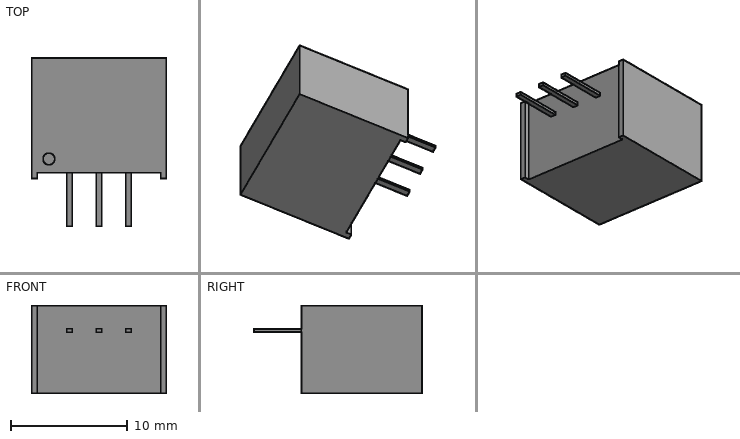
import cadquery as cq

WIDTH = 11.6
HEIGHT = 7.55
TOTAL_LENGTH = 14.49

HOUSING_LENGTH = 10.39
LIP_THICKNESS = 0.49
LIP_DEPTH = 0.49

PIN_COUNT = 3
PIN_PITCH = 2.54
PIN_WIDTH = 0.5
PIN_HEIGHT = 0.29
PIN_CENTRE_Z = 5.42

MARKER_DIAMETER = 1.01
MARKER_DEPTH = 0.07
MARKER_FROM_SIDE = 1.49
MARKER_FROM_LIP_END = 1.7

CAVITY_WIDTH = WIDTH - 2 * LIP_THICKNESS
PIN_TIP_Y = HOUSING_LENGTH - TOTAL_LENGTH
PIN_LENGTH = LIP_DEPTH - PIN_TIP_Y
MARKER_X = MARKER_FROM_SIDE - WIDTH / 2


def box_from(x_size, y_size, z_size, y_start, z_start):
    """Box centred on X, growing toward +Y and +Z from its start."""
    return (
        cq.Workplane("XY")
        .box(x_size, y_size, z_size, centered=(True, False, False))
        .translate((0, y_start, z_start))
    )


def make_marker():
    """Disc whose upper face is level with the top of the housing."""
    return (
        cq.Workplane("XY", origin=(MARKER_X, MARKER_FROM_LIP_END, HEIGHT - MARKER_DEPTH))
        .circle(MARKER_DIAMETER / 2)
        .extrude(MARKER_DEPTH)
    )


def make_pin(x_centre):
    """Flat pin from the recessed front face out to the pin tip."""
    pin = box_from(PIN_WIDTH, PIN_LENGTH, PIN_HEIGHT, PIN_TIP_Y, PIN_CENTRE_Z - PIN_HEIGHT / 2)
    return pin.translate((x_centre, 0, 0))


def make_converter(marker):
    """Housing with side lips and fixed pins, recessed to hold the marker."""
    converter = box_from(WIDTH, HOUSING_LENGTH, HEIGHT, 0, 0)
    converter = converter.cut(box_from(CAVITY_WIDTH, LIP_DEPTH, HEIGHT, 0, 0))
    for index in range(PIN_COUNT):
        x_centre = (index - (PIN_COUNT - 1) / 2) * PIN_PITCH
        converter = converter.union(make_pin(x_centre))
    return converter.cut(marker)


marker = make_marker()
converter = make_converter(marker)

result = cq.Compound.makeCompound([converter.solids().val(), marker.val()])